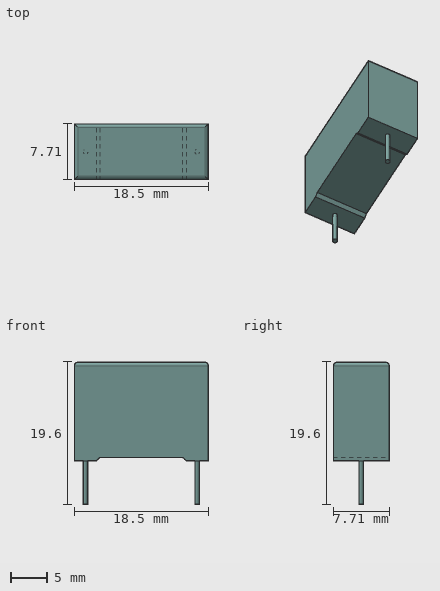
import cadquery as cq

CASE_LENGTH = 18.5
CASE_WIDTH = 7.71
CASE_HEIGHT = 13.6
TOP_EDGE_RADIUS = 0.5

RELIEF_DEPTH = 0.45
RELIEF_MOUTH_LENGTH = 12.4
RELIEF_ROOF_LENGTH = 11.4

LEAD_PITCH = 15.4
LEAD_DIAMETER = 0.65
OVERALL_HEIGHT = 19.6
LEAD_LENGTH = OVERALL_HEIGHT - CASE_HEIGHT


def make_case():
    """Case with its base at Z = 0 and all four top edges rounded."""
    case = cq.Workplane("XY").box(CASE_LENGTH, CASE_WIDTH, CASE_HEIGHT, centered=(True, True, False))
    return case.faces(">Z").edges().fillet(TOP_EDGE_RADIUS)


def make_relief():
    """Trapezoidal prism that separates the two feet."""
    half_mouth = RELIEF_MOUTH_LENGTH / 2
    half_roof = RELIEF_ROOF_LENGTH / 2
    outline = [
        (-half_mouth, 0),
        (-half_roof, RELIEF_DEPTH),
        (half_roof, RELIEF_DEPTH),
        (half_mouth, 0),
    ]
    return cq.Workplane("XZ").polyline(outline).close().extrude(CASE_WIDTH / 2, both=True)


def make_lead(x):
    """Round wire hanging from the base of the case."""
    return cq.Workplane("XY").center(x, 0).circle(LEAD_DIAMETER / 2).extrude(-LEAD_LENGTH)


result = make_case().cut(make_relief())
for side in (-1, 1):
    result = result.union(make_lead(side * LEAD_PITCH / 2))